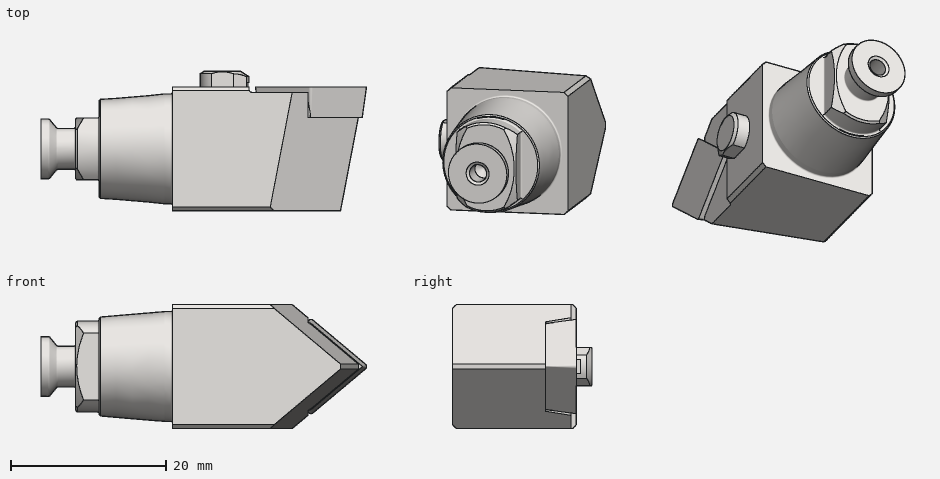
import cadquery as cq
import math

LENGTH = 42.0

KNOB_RADIUS = 3.85
KNOB_RIM = 1.1
KNOB_CONE_END = 2.1
KNOB_FILLET = 0.25
NECK_RADIUS = 2.65
NECK_ROOT_FILLET = 0.15

HOLE_RADIUS = 1.15
HOLE_MOUTH_RADIUS = 1.5
HOLE_MOUTH_DEPTH = 0.25
HOLE_DEPTH = 3.35
HOLE_TIP_ANGLE = 120.0

COLLAR_START = 4.45
COLLAR_RADIUS = 5.9
COLLAR_CHAMFER = 0.25
FLAT_HALF_WIDTH = 4.0
COLLAR_ROOT_FILLET = 0.2
LEAD_RADIUS = 9.95
LEAD_INSET = 0.15

TAPER_START = 7.5
TAPER_SMALL_RADIUS = 6.4
TAPER_CHAMFER = 0.15
TAPER_END = 15.95
TAPER_LARGE_RADIUS = 7.1
SHANK_ROOT_FILLET = 0.2

HEAD_START = 16.95
HEAD_SIDE = 16.0
HEAD_CHAMFER = 0.5
NOSE_HALF_ANGLE = 40.0
RELIEF_ANGLE = 7.0
NOSE_X = 38.65
NOSE_HALF_WIDTH = 0.315
DECK_DROP = 0.7
DECK_START = 26.85
DECK_FILLET = 0.4

INSERT_SIDE = 9.65
INSERT_THICKNESS = 4.0
INSERT_CORNER_RADIUS = 0.4
INSERT_BOTTOM_RADIUS = 0.05
NOTCH_X = 34.45
NOTCH_HALF_HEIGHT = 5.6

NOZZLE_X = 23.4
NOZZLE_BACK_RADIUS = 2.85
NOZZLE_FRONT_RADIUS = 3.45
NOZZLE_FLAT = 2.48
NOZZLE_HEIGHT = 2.0
NOZZLE_TOP_RADIUS = 2.35
NOZZLE_RIM_HEIGHT = 1.3
NOZZLE_TAPER_ANGLE = 30.0
OUTLET_HALF_WIDTH = 0.92
OUTLET_HEIGHT = 0.55
OUTLET_DEPTH = 0.65

half_side = HEAD_SIDE / 2
nose_slope = math.tan(math.radians(NOSE_HALF_ANGLE))
lean = math.tan(math.radians(RELIEF_ANGLE)) / math.sin(math.radians(NOSE_HALF_ANGLE))


def edges_at(x, radius):
    """Select the edges in the plane at x that lie wholly within the radius about the shank axis."""
    margin = 0.02
    reach = radius + margin
    return cq.selectors.BoxSelector(
        (x - margin, -reach, -reach), (x + margin, reach, reach), boundingbox=True
    )


def turned(profile):
    """Revolve an (x, radius) outline about the X axis."""
    return cq.Workplane("XZ").polyline(profile).close().revolve(360, (0, 0, 0), (1, 0, 0))


def pull_knob():
    knob = turned([
        (0, 0),
        (0, KNOB_RADIUS),
        (KNOB_RIM, KNOB_RADIUS),
        (KNOB_CONE_END, NECK_RADIUS),
        (COLLAR_START, NECK_RADIUS),
        (COLLAR_START, 0),
    ])
    knob = knob.edges(edges_at(KNOB_RIM, KNOB_RADIUS)).fillet(KNOB_FILLET)
    return knob.edges(edges_at(KNOB_CONE_END, NECK_RADIUS)).fillet(KNOB_FILLET)


def centre_hole():
    tip = HOLE_RADIUS / math.tan(math.radians(HOLE_TIP_ANGLE / 2))
    return turned([
        (0, 0),
        (0, HOLE_MOUTH_RADIUS),
        (HOLE_MOUTH_DEPTH, HOLE_RADIUS),
        (HOLE_DEPTH, HOLE_RADIUS),
        (HOLE_DEPTH + tip, 0),
    ])


def collar():
    length = TAPER_START - COLLAR_START
    body = cq.Workplane("YZ", origin=(COLLAR_START, 0, 0)).circle(COLLAR_RADIUS).extrude(length)
    body = body.faces("<X").chamfer(COLLAR_CHAMFER)
    flats = cq.Workplane("XY").box(length, 2 * FLAT_HALF_WIDTH, 2 * COLLAR_RADIUS)
    body = body.intersect(flats.translate((COLLAR_START + length / 2, 0, 0)))
    lead_offset = LEAD_RADIUS - FLAT_HALF_WIDTH + LEAD_INSET
    for side in (-1, 1):
        lead = cq.Solid.makeCone(
            LEAD_RADIUS, LEAD_RADIUS + length, length,
            pnt=cq.Vector(COLLAR_START, side * lead_offset, 0), dir=cq.Vector(1, 0, 0),
        )
        body = body.intersect(cq.Workplane(lead))
    return body


def tapered_shank():
    shank = turned([
        (TAPER_START, 0),
        (TAPER_START, TAPER_SMALL_RADIUS),
        (TAPER_END, TAPER_LARGE_RADIUS),
        (HEAD_START, TAPER_LARGE_RADIUS),
        (HEAD_START, 0),
    ])
    return shank.faces("<X").chamfer(TAPER_CHAMFER)


def head_outline(y):
    """Pointed outline of the head in the plane at y."""
    land_x = NOSE_X + (y + half_side) * lean
    shoulder_x = land_x - (half_side - NOSE_HALF_WIDTH) / nose_slope
    return cq.Wire.makePolygon([
        cq.Vector(HEAD_START, y, -half_side),
        cq.Vector(shoulder_x, y, -half_side),
        cq.Vector(land_x, y, -NOSE_HALF_WIDTH),
        cq.Vector(land_x, y, NOSE_HALF_WIDTH),
        cq.Vector(shoulder_x, y, half_side),
        cq.Vector(HEAD_START, y, half_side),
    ], close=True)


def head():
    bar = cq.Workplane("XY").box(2 * LENGTH, HEAD_SIDE, HEAD_SIDE).edges("|X").chamfer(HEAD_CHAMFER)
    pointed = cq.Solid.makeLoft([head_outline(-half_side), head_outline(half_side)], True)
    body = bar.intersect(cq.Workplane(pointed))
    deck = (
        cq.Workplane("XY")
        .box(LENGTH, DECK_DROP, HEAD_SIDE, centered=(False, False, True))
        .edges("<X and <Y").fillet(DECK_FILLET)
        .translate((DECK_START, half_side - DECK_DROP, 0))
    )
    return body.cut(deck)


def rhombus(half_length, half_height, centre_x, y, radius):
    """Rhombus with rounded corners in the plane at y."""
    plane = cq.Plane(origin=(centre_x, y, 0), xDir=(1, 0, 0), normal=(0, -1, 0))
    corners = [(half_length, 0), (0, half_height), (-half_length, 0), (0, -half_height)]
    sharp = cq.Workplane(plane).polyline(corners).close().wires().val()
    return sharp.fillet2D(radius, sharp.Vertices())


def make_insert():
    angle = math.radians(NOSE_HALF_ANGLE)
    half_length = INSERT_SIDE * math.cos(angle)
    half_height = INSERT_SIDE * math.sin(angle)
    tip_setback = INSERT_CORNER_RADIUS * (1 / math.sin(angle) - 1)
    centre_x = LENGTH + tip_setback - half_length
    shrink_x = INSERT_THICKNESS * lean
    shrink_z = shrink_x * nose_slope
    top = rhombus(half_length, half_height, centre_x, half_side, INSERT_CORNER_RADIUS)
    seat = rhombus(half_length - shrink_x, half_height - shrink_z, centre_x,
                   half_side - INSERT_THICKNESS, INSERT_BOTTOM_RADIUS)
    return cq.Workplane(cq.Solid.makeLoft([seat, top], True))


def corner_notches():
    """Clearance in the pocket for the two side corners of the insert."""
    notch = cq.Workplane("XY").box(2 * DECK_DROP, INSERT_THICKNESS, half_side, centered=False)
    notch = notch.translate((NOTCH_X, half_side - INSERT_THICKNESS, NOTCH_HALF_HEIGHT))
    return notch.union(notch.mirror("XY"))


def make_holder(insert):
    body = tapered_shank().union(collar())
    body = body.edges(edges_at(TAPER_START, COLLAR_RADIUS)).fillet(COLLAR_ROOT_FILLET)
    body = body.union(pull_knob())
    body = body.edges(edges_at(COLLAR_START, NECK_RADIUS)).fillet(NECK_ROOT_FILLET)
    body = body.union(head())
    body = body.edges(edges_at(HEAD_START, TAPER_LARGE_RADIUS)).fillet(SHANK_ROOT_FILLET)
    body = body.cut(centre_hole())
    body = body.cut(corner_notches())
    return body.cut(insert)


def make_nozzle():
    flat_x = math.sqrt(NOZZLE_BACK_RADIUS**2 - NOZZLE_FLAT**2)
    taper = math.radians(NOZZLE_TAPER_ANGLE)
    along = flat_x * math.cos(taper) - NOZZLE_FLAT * math.sin(taper)
    reach = math.sqrt(along**2 + NOZZLE_FRONT_RADIUS**2 - flat_x**2 - NOZZLE_FLAT**2) - along
    front_x = flat_x + reach * math.cos(taper)
    front_z = NOZZLE_FLAT - reach * math.sin(taper)
    plane = cq.Plane(origin=(NOZZLE_X, half_side, 0), xDir=(1, 0, 0), normal=(0, 1, 0))
    body = (
        cq.Workplane(plane)
        .moveTo(-flat_x, NOZZLE_FLAT)
        .lineTo(flat_x, NOZZLE_FLAT)
        .lineTo(front_x, front_z)
        .threePointArc((NOZZLE_FRONT_RADIUS, 0), (front_x, -front_z))
        .lineTo(flat_x, -NOZZLE_FLAT)
        .lineTo(-flat_x, -NOZZLE_FLAT)
        .threePointArc((-NOZZLE_BACK_RADIUS, 0), (-flat_x, NOZZLE_FLAT))
        .close()
        .extrude(NOZZLE_HEIGHT)
    )
    crown = (
        cq.Workplane("XY", origin=(NOZZLE_X, half_side, 0))
        .polyline([
            (0, 0),
            (NOZZLE_FRONT_RADIUS, 0),
            (NOZZLE_FRONT_RADIUS, NOZZLE_RIM_HEIGHT),
            (NOZZLE_TOP_RADIUS, NOZZLE_HEIGHT),
            (0, NOZZLE_HEIGHT),
        ])
        .close()
        .revolve(360, (0, 0, 0), (0, 1, 0))
    )
    outlet = cq.Workplane("XY").box(
        OUTLET_DEPTH, OUTLET_HEIGHT, 2 * OUTLET_HALF_WIDTH, centered=(False, False, True)
    )
    outlet = outlet.translate((NOZZLE_X + NOZZLE_FRONT_RADIUS - OUTLET_DEPTH, half_side, 0))
    return body.intersect(crown).cut(outlet)


insert = make_insert()
holder = make_holder(insert)
nozzle = make_nozzle()

result = cq.Compound.makeCompound([holder.val(), insert.val(), nozzle.val()])